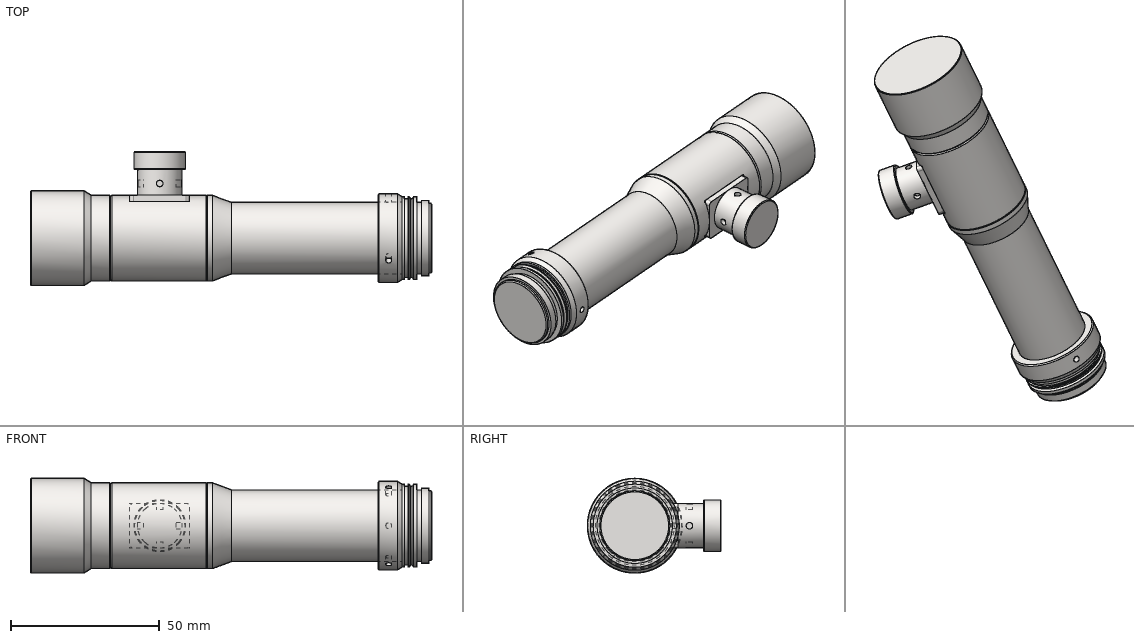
import cadquery as cq
import math

head_rim_end = 18.0
head_taper_end = 20.4
head_joint = 26.95
tube_joint = 59.3
tube_taper_start = 61.2
tube_taper_end = 67.7
mount_start = 117.0
collar_end = 123.5
collar_taper_end = 125.1
flange_face = 130.1
thread_start = 131.6
thread_end = 134.1
overall_length = 135.16

head_radius = 16.0
barrel_radius = 14.5
tube_radius = 12.1
collar_radius = 15.0
flange_radius = 14.0
thread_radius = 25.4 / 2
nose_radius = 11.8

head_edge_chamfer = 0.25
joint_chamfer = 0.4
tube_joint_chamfer = 0.2
collar_chamfer = 0.4
nose_chamfer = 0.4

flange_groove_depth = 0.7
square_groove_start = 125.9
square_groove_end = 127.1
sloped_groove_start = 127.5
sloped_groove_end = 129.0
sloped_groove_run = 0.5

collar_hole_x = 120.6
collar_hole_diameter = 2.0
collar_hole_count = 3
tube_spigot_end = collar_taper_end

port_x = 43.5
port_flange_length = 20.2
port_flange_corner = 1.2
port_neck_diameter = 15.0
port_flange_width = port_neck_diameter
port_flange_top = barrel_radius
port_seat = math.sqrt(barrel_radius**2 - (port_flange_width / 2)**2)
port_head_diameter = 17.5
port_head_length = 6.0
port_end = 29.1
port_head_chamfer = 0.3
port_hole_y = 18.4
port_hole_diameter = 2.2
port_hole_depth = 2.0
port_hole_count = 4


def turned(profile):
    """Solid of revolution about the X axis from (x, radius) points; the axis closes the outline."""
    outline = [(profile[0][0], 0), *profile, (profile[-1][0], 0)]
    return cq.Workplane("XZ").polyline(outline).close().revolve(360, (0, 0, 0), (1, 0, 0))


def make_head():
    return turned([
        (0, head_radius - head_edge_chamfer),
        (head_edge_chamfer, head_radius),
        (head_rim_end, head_radius),
        (head_taper_end, barrel_radius),
        (head_joint - joint_chamfer, barrel_radius),
        (head_joint, barrel_radius - joint_chamfer),
    ])


def make_barrel():
    barrel = turned([
        (head_joint, barrel_radius - joint_chamfer),
        (head_joint + joint_chamfer, barrel_radius),
        (tube_joint - tube_joint_chamfer, barrel_radius),
        (tube_joint, barrel_radius - tube_joint_chamfer),
    ])
    notch = cq.Workplane("XY").box(
        port_flange_length, barrel_radius, 2 * barrel_radius, centered=(True, False, True)
    )
    return barrel.cut(notch.translate((port_x, port_seat, 0)))


def make_tube():
    return turned([
        (tube_joint, barrel_radius - tube_joint_chamfer),
        (tube_joint + tube_joint_chamfer, barrel_radius),
        (tube_taper_start, barrel_radius),
        (tube_taper_end, tube_radius),
        (tube_spigot_end, tube_radius),
    ])


def make_mount():
    groove_floor_radius = flange_radius - flange_groove_depth
    mount = turned([
        (mount_start, collar_radius - collar_chamfer),
        (mount_start + collar_chamfer, collar_radius),
        (collar_end, collar_radius),
        (collar_taper_end, flange_radius),
        (square_groove_start, flange_radius),
        (square_groove_start, groove_floor_radius),
        (square_groove_end, groove_floor_radius),
        (square_groove_end, flange_radius),
        (sloped_groove_start, flange_radius),
        (sloped_groove_start + sloped_groove_run, groove_floor_radius),
        (sloped_groove_end - sloped_groove_run, groove_floor_radius),
        (sloped_groove_end, flange_radius),
        (flange_face, flange_radius),
        (flange_face, tube_radius),
        (thread_start, tube_radius),
        (thread_start, thread_radius),
        (thread_end, thread_radius),
        (thread_end, nose_radius),
        (overall_length - nose_chamfer, nose_radius),
        (overall_length, nose_radius - nose_chamfer),
    ])
    tube_socket = turned([(mount_start, tube_radius), (tube_spigot_end, tube_radius)])
    mount = mount.cut(tube_socket)
    hole = (
        cq.Workplane("XZ", origin=(collar_hole_x, 0, 0))
        .circle(collar_hole_diameter / 2)
        .extrude(-collar_radius)
    )
    for index in range(collar_hole_count):
        angle = index * 360 / collar_hole_count
        mount = mount.cut(hole.rotate((0, 0, 0), (1, 0, 0), angle))
    return mount


def make_port():
    flange = (
        cq.Workplane("XZ", origin=(port_x, port_seat, 0))
        .rect(port_flange_length, port_flange_width)
        .extrude(port_seat - port_flange_top)
        .edges("|Y").fillet(port_flange_corner)
    )
    neck = (
        cq.Workplane("XZ", origin=(port_x, port_seat, 0))
        .circle(port_neck_diameter / 2)
        .extrude(port_seat - port_end)
    )
    head = (
        cq.Workplane("XZ", origin=(port_x, port_end, 0))
        .circle(port_head_diameter / 2)
        .extrude(port_head_length)
        .edges().chamfer(port_head_chamfer)
    )
    port = flange.union(neck).union(head)
    neck_radius = port_neck_diameter / 2
    hole = (
        cq.Workplane("XY", origin=(port_x, port_hole_y, neck_radius - port_hole_depth))
        .circle(port_hole_diameter / 2)
        .extrude(neck_radius)
    )
    for index in range(port_hole_count):
        angle = index * 360 / port_hole_count
        port = port.cut(hole.rotate((port_x, 0, 0), (port_x, 1, 0), angle))
    return port


head = make_head()
barrel = make_barrel()
tube = make_tube()
mount = make_mount()
port = make_port()

result = cq.Compound.makeCompound([head.val(), barrel.val(), tube.val(), mount.val(), port.val()])